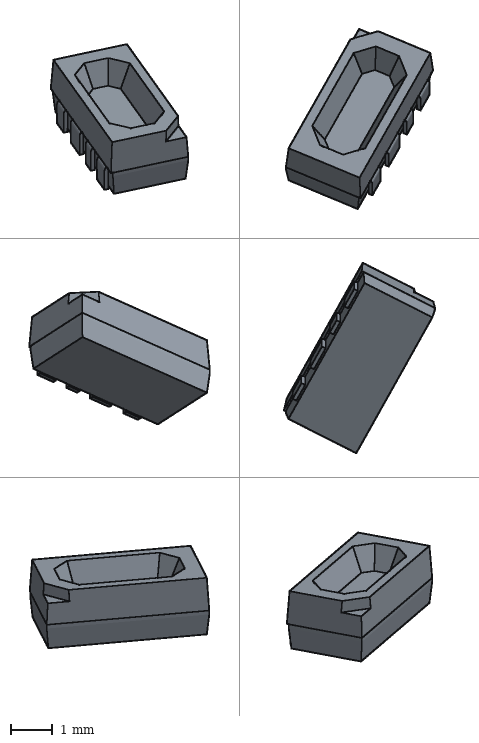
import cadquery as cq
import math

length = 4.0
width = 2.0
height = 1.5
draft_inset = 0.05
split_height = 0.65

lead_thickness = 0.1
lead_spans = [(-1.45, -1.0), (-0.55, 0.05), (0.45, 0.8), (1.2, 1.7)]

band_height = lead_thickness
band_bottom = split_height - band_height
base_front = -width / 2 + lead_thickness / 2
base_back = width / 2

cavity_length = 3.08
cavity_width = 1.42
cavity_corner = 0.4
cavity_depth = 0.6
cavity_taper = 25.0
notch_leg = 0.5
notch_depth = 0.3


def make_reflector():
    """Drafted upper housing with an octagonal cavity and a notched corner."""
    wall_height = height - split_height
    wall_draft = math.degrees(math.atan(draft_inset / wall_height))
    body = (
        cq.Workplane("XY", origin=(0, 0, split_height))
        .rect(length, width)
        .extrude(wall_height, taper=wall_draft)
    )

    top_plane = cq.Workplane("XY", origin=(0, 0, height))
    cavity_outline = (
        cq.Sketch()
        .rect(cavity_length, cavity_width)
        .vertices()
        .chamfer(cavity_corner)
    )
    cavity = top_plane.placeSketch(cavity_outline).extrude(-cavity_depth, taper=cavity_taper)

    corner_x = length / 2
    corner_y = width / 2
    leg = notch_leg + 2 * draft_inset
    notch = (
        top_plane.moveTo(corner_x, corner_y)
        .lineTo(corner_x - leg, corner_y)
        .lineTo(corner_x, corner_y - leg)
        .close()
        .extrude(-notch_depth)
    )
    return body.cut(cavity).cut(notch)


def make_base():
    """Lower housing: an upright band above walls that lean in toward the bottom."""
    base_width = base_back - base_front
    base_center = (base_back + base_front) / 2
    base_draft = math.degrees(math.atan(draft_inset / band_bottom))
    outline_plane = cq.Workplane("XY", origin=(0, base_center, band_bottom))
    band = outline_plane.rect(length, base_width).extrude(band_height)
    lower = outline_plane.rect(length, base_width).extrude(-band_bottom, taper=base_draft)
    return band.union(lower)


def make_lead(start, end):
    """Upright terminal strip with its outer top edge fully rounded."""
    outer_face = base_front - lead_thickness
    return (
        cq.Workplane("YZ", origin=(start, 0, 0))
        .moveTo(base_front, 0)
        .lineTo(base_front, split_height)
        .radiusArc((outer_face, split_height - lead_thickness), -lead_thickness)
        .lineTo(outer_face, 0)
        .close()
        .extrude(end - start)
    )


reflector = make_reflector()
base = make_base()
leads = [make_lead(start, end) for start, end in lead_spans]

result = cq.Compound.makeCompound([reflector.val(), base.val(), *[lead.val() for lead in leads]])